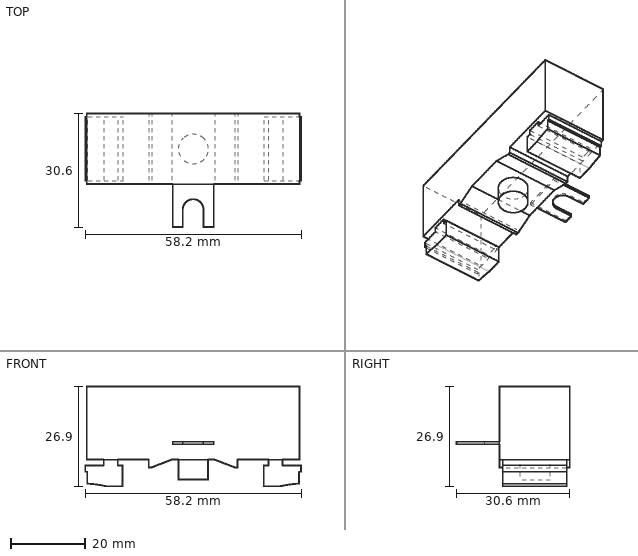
import cadquery as cq

BODY_LENGTH = 57.3
BODY_DEPTH = 19.0
BODY_HEIGHT = 19.75

OVERALL_LENGTH = 58.16
OVERALL_DEPTH = 30.6
OVERALL_HEIGHT = 26.9

HOOK_OUTER_X = 12.0
HOOK_TIP_WIDTH = 0.8
HOOK_INNER_X = 5.75
HOOK_DROP = 2.1

BOSS_DIAMETER = 8.0
BOSS_DROP = 5.35

FOOT_DEPTH = 17.3
FOOT_INNER_X = 19.0
FOOT_TOP_DROP = 1.5
FOOT_BOTTOM_DROP = OVERALL_HEIGHT - BODY_HEIGHT
NECK_INNER_X = 20.25
NECK_OUTER_X = 24.1
LIP_OVERHANG = 0.58
LIP_HEIGHT = 1.75
FOOT_FLAT_OUTER_X = 23.5
FOOT_SLOPE_RISE = 0.7
FOOT_SLOPE_HOLLOW = 0.1

TAB_WIDTH = 11.1
TAB_REACH = OVERALL_DEPTH - BODY_DEPTH
TAB_BOTTOM_Z = 4.1
TAB_THICKNESS = 0.8
SLOT_WIDTH = 5.5
SLOT_END_GAP = 4.1


def with_mirror(solid):
    """Join a shape at +X with its mirror image at -X."""
    return solid.union(solid.mirror("YZ"))


def make_body():
    return cq.Workplane("XY").box(
        BODY_LENGTH, BODY_DEPTH, BODY_HEIGHT, centered=(True, True, False)
    )


def make_hook():
    outline = [
        (HOOK_INNER_X, 0),
        (HOOK_OUTER_X, 0),
        (HOOK_OUTER_X, -HOOK_DROP),
        (HOOK_OUTER_X - HOOK_TIP_WIDTH, -HOOK_DROP),
    ]
    return cq.Workplane("XZ").polyline(outline).close().extrude(BODY_DEPTH / 2, both=True)


def make_foot():
    lip_x = OVERALL_LENGTH / 2
    side_x = lip_x - LIP_OVERHANG
    lip_bottom_z = -FOOT_TOP_DROP - LIP_HEIGHT
    slope_top_z = -FOOT_BOTTOM_DROP + FOOT_SLOPE_RISE
    slope_middle = (
        (side_x + FOOT_FLAT_OUTER_X) / 2,
        slope_top_z - FOOT_SLOPE_RISE / 2 + FOOT_SLOPE_HOLLOW,
    )
    return (
        cq.Workplane("XZ")
        .moveTo(NECK_INNER_X, 0)
        .lineTo(NECK_OUTER_X, 0)
        .lineTo(NECK_OUTER_X, -FOOT_TOP_DROP)
        .lineTo(lip_x, -FOOT_TOP_DROP)
        .lineTo(lip_x, lip_bottom_z)
        .lineTo(side_x, lip_bottom_z)
        .lineTo(side_x, slope_top_z)
        .threePointArc(slope_middle, (FOOT_FLAT_OUTER_X, -FOOT_BOTTOM_DROP))
        .lineTo(FOOT_INNER_X, -FOOT_BOTTOM_DROP)
        .lineTo(FOOT_INNER_X, -FOOT_TOP_DROP)
        .lineTo(NECK_INNER_X, -FOOT_TOP_DROP)
        .close()
        .extrude(FOOT_DEPTH / 2, both=True)
    )


def make_boss():
    return cq.Workplane("XY").circle(BOSS_DIAMETER / 2).extrude(-BOSS_DROP)


def make_tab():
    face_y = -BODY_DEPTH / 2
    tip_y = face_y - TAB_REACH
    slot_radius = SLOT_WIDTH / 2
    slot_end_y = face_y - SLOT_END_GAP
    arc_start_y = slot_end_y - slot_radius
    return (
        cq.Workplane("XY", origin=(0, 0, TAB_BOTTOM_Z))
        .moveTo(-TAB_WIDTH / 2, face_y)
        .lineTo(-TAB_WIDTH / 2, tip_y)
        .lineTo(-slot_radius, tip_y)
        .lineTo(-slot_radius, arc_start_y)
        .threePointArc((0, slot_end_y), (slot_radius, arc_start_y))
        .lineTo(slot_radius, tip_y)
        .lineTo(TAB_WIDTH / 2, tip_y)
        .lineTo(TAB_WIDTH / 2, face_y)
        .close()
        .extrude(TAB_THICKNESS)
    )


result = (
    make_body()
    .union(with_mirror(make_hook()))
    .union(with_mirror(make_foot()))
    .union(make_boss())
    .union(make_tab())
)